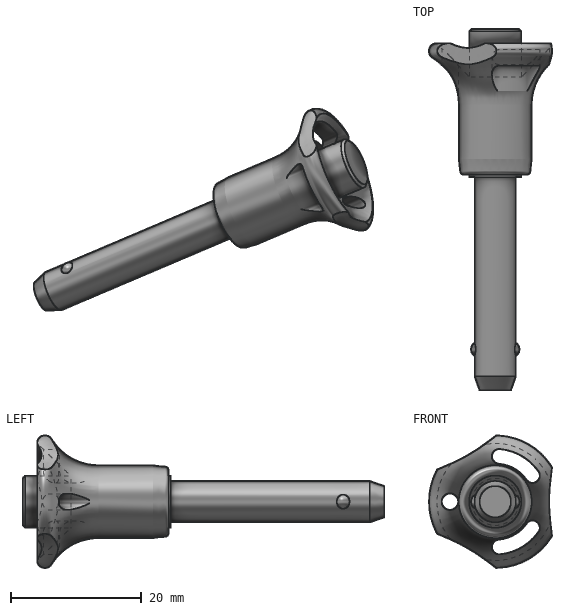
import cadquery as cq
import math

TOTAL_LENGTH = 55.37

SHANK_RADIUS = 3.175
SHANK_TIP_RADIUS = 2.4
TIP_TAPER_LENGTH = 2.2
BALL_RADIUS = 1.15
BALL_REACH = 3.72
BALL_TO_TIP = 6.3

COLLAR_RADIUS = 4.0
COLLAR_LENGTH = 0.35
BODY_RADIUS = 5.59
NOSE_FACE_RADIUS = 4.75
NOSE_RADIUS = 5.4
NOSE_ROUNDING_LENGTH = 0.65
NOSE_TAPER_LENGTH = 1.75
BODY_LENGTH = 8.35
HANDLE_LENGTH = 20.5

GRIP_RADIUS = 10.16
RIM_RADIUS = 1.2
DISH_ANGLE = 46
LOBES = 3
SLOTTED_LOBE_ANGLE = 60
LOBE_SPAN = 58
SCALLOP_DEPTH_RADIUS = 8.28

HOLE_CENTRE_RADIUS = 6.93
HOLE_RADIUS = 1.25
SLOT_INNER_RADIUS = 5.85
SLOT_OUTER_RADIUS = 8.07
SLOT_HALF_ANGLE = 25

BUTTON_RADIUS = 4.0
BUTTON_EXPOSED_LENGTH = 2.2
BUTTON_CHAMFER = 0.4

button_end = HANDLE_LENGTH + BUTTON_EXPOSED_LENGTH
tip_end = button_end - TOTAL_LENGTH
nose_start = COLLAR_LENGTH + NOSE_ROUNDING_LENGTH
body_start = nose_start + NOSE_TAPER_LENGTH
flare_start = body_start + BODY_LENGTH
rim_centre = (GRIP_RADIUS - RIM_RADIUS, HANDLE_LENGTH - RIM_RADIUS)


def polar(radius, degrees, centre=(0, 0)):
    """Point at a radius and an angle from a centre."""
    angle = math.radians(degrees)
    return (centre[0] + radius * math.cos(angle), centre[1] + radius * math.sin(angle))


def circle_point(centre, radius, target):
    """Point of a circle on the ray from its centre towards a target."""
    angle = math.degrees(math.atan2(target[1] - centre[1], target[0] - centre[0]))
    return polar(radius, angle, centre)


def middle_on_circle(centre, radius, first, last):
    """Point of a circle halfway along the minor arc between two of its points."""
    return circle_point(centre, radius, ((first[0] + last[0]) / 2, (first[1] + last[1]) / 2))


def flare_radius():
    """Radius of the arc tangent to both the body cylinder and the rim rounding."""
    across = rim_centre[0] - BODY_RADIUS
    along = rim_centre[1] - flare_start
    return (across**2 + along**2 - RIM_RADIUS**2) / (2 * (across + RIM_RADIUS))


def revolve_about_y(profile):
    return profile.close().revolve(360, (0, 0, 0), (0, 1, 0))


def make_handle():
    """Nose, body, flare, rounded rim and dished back, as one revolved profile."""
    bend = flare_radius()
    bend_centre = (BODY_RADIUS + bend, flare_start)
    flare_end = circle_point(rim_centre, RIM_RADIUS, bend_centre)
    flare_middle = middle_on_circle(bend_centre, bend, (BODY_RADIUS, flare_start), flare_end)
    rim_back = (rim_centre[0], HANDLE_LENGTH)

    dish_depth = (rim_back[0] - BUTTON_RADIUS) * math.tan(math.radians(DISH_ANGLE))

    profile = (
        cq.Workplane("XY")
        .lineTo(COLLAR_RADIUS, 0)
        .lineTo(COLLAR_RADIUS, COLLAR_LENGTH)
        .lineTo(NOSE_FACE_RADIUS, COLLAR_LENGTH)
        .tangentArcPoint((NOSE_RADIUS, nose_start), relative=False)
        .lineTo(BODY_RADIUS, body_start)
        .lineTo(BODY_RADIUS, flare_start)
        .threePointArc(flare_middle, flare_end)
        .threePointArc((GRIP_RADIUS, rim_centre[1]), rim_back)
        .lineTo(BUTTON_RADIUS, HANDLE_LENGTH - dish_depth)
        .lineTo(0, HANDLE_LENGTH - dish_depth)
    )
    return revolve_about_y(profile)


def along_y(sketch, first_y, last_y):
    """Prism between two Y stations, from an outline drawn in the XZ plane."""
    return sketch.extrude(-(last_y - first_y)).translate((0, first_y, 0))


def make_scallops():
    """Round hollows between the lobes, crossing the rim at the neighbouring lobe ends."""
    lobe_end_x, lobe_end_z = polar(GRIP_RADIUS, (360 / LOBES - LOBE_SPAN) / 2)
    sag = lobe_end_x - SCALLOP_DEPTH_RADIUS
    scallop_radius = (lobe_end_z**2 + sag**2) / (2 * sag)
    outline = cq.Workplane("XZ").center(SCALLOP_DEPTH_RADIUS + scallop_radius, 0).circle(scallop_radius)
    scallop = along_y(outline, flare_start, button_end)
    return [scallop.rotate((0, 0, 0), (0, 1, 0), 360 / LOBES * i) for i in range(LOBES)]


def make_slots():
    """Curved slots through the two lobes on the +X side."""
    middle_radius = (SLOT_INNER_RADIUS + SLOT_OUTER_RADIUS) / 2
    end_radius = (SLOT_OUTER_RADIUS - SLOT_INNER_RADIUS) / 2
    end_centre = polar(middle_radius, SLOT_HALF_ANGLE)
    end_tip = polar(end_radius, SLOT_HALF_ANGLE + 90, end_centre)
    inner = polar(SLOT_INNER_RADIUS, SLOT_HALF_ANGLE)
    outer = polar(SLOT_OUTER_RADIUS, SLOT_HALF_ANGLE)
    slot = along_y(
        cq.Workplane("XZ")
        .moveTo(inner[0], -inner[1])
        .threePointArc((SLOT_INNER_RADIUS, 0), inner)
        .threePointArc(end_tip, outer)
        .threePointArc((SLOT_OUTER_RADIUS, 0), (outer[0], -outer[1]))
        .threePointArc((end_tip[0], -end_tip[1]), (inner[0], -inner[1]))
        .close(),
        flare_start,
        button_end,
    )
    return [slot.rotate((0, 0, 0), (0, 1, 0), angle) for angle in (-SLOTTED_LOBE_ANGLE, SLOTTED_LOBE_ANGLE)]


def make_lanyard_hole():
    """Round hole through the lobe on the -X side."""
    outline = cq.Workplane("XZ").center(-HOLE_CENTRE_RADIUS, 0).circle(HOLE_RADIUS)
    return along_y(outline, flare_start, button_end)


def make_button():
    profile = (
        cq.Workplane("XY")
        .moveTo(0, flare_start)
        .lineTo(BUTTON_RADIUS, flare_start)
        .lineTo(BUTTON_RADIUS, button_end - BUTTON_CHAMFER)
        .lineTo(BUTTON_RADIUS - BUTTON_CHAMFER, button_end)
        .lineTo(0, button_end)
    )
    return revolve_about_y(profile)


def make_shank():
    profile = (
        cq.Workplane("XY")
        .moveTo(0, tip_end)
        .lineTo(SHANK_TIP_RADIUS, tip_end)
        .lineTo(SHANK_RADIUS, tip_end + TIP_TAPER_LENGTH)
        .lineTo(SHANK_RADIUS, body_start)
        .lineTo(0, body_start)
    )
    return revolve_about_y(profile)


def make_ball(side):
    """Locking ball standing proud of the shank; side is +1 or -1 along X."""
    centre_x = side * (BALL_REACH - BALL_RADIUS)
    return cq.Workplane("XY").sphere(BALL_RADIUS).translate((centre_x, tip_end + BALL_TO_TIP, 0))


handle = make_handle().cut(make_lanyard_hole())
for cutter in make_scallops() + make_slots():
    handle = handle.cut(cutter)
result = handle.union(make_button()).union(make_shank())
for ball_side in (-1, 1):
    result = result.union(make_ball(ball_side))